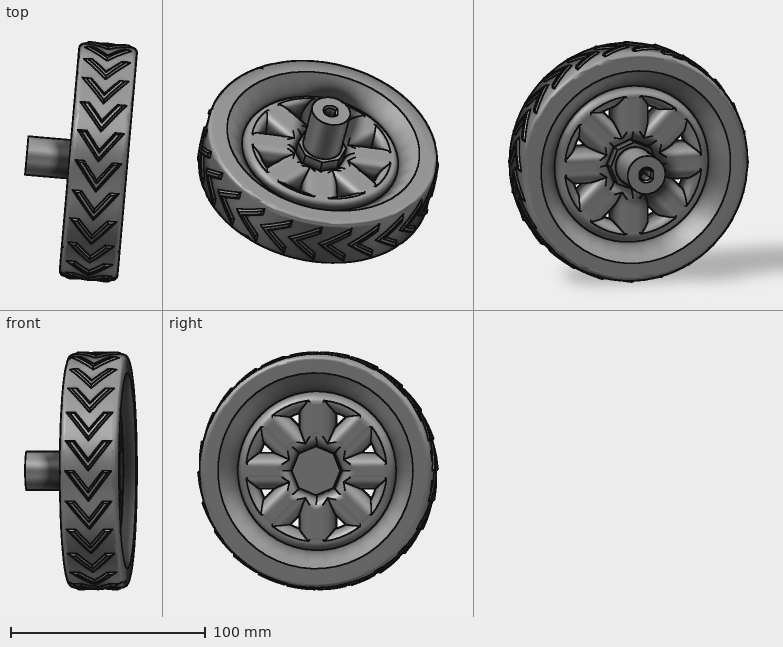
import cadquery as cq
import math

AXIS_TILT = -5.0

TYRE_RADIUS = 60.0
TYRE_HALF_WIDTH = 14.98
TYRE_FILLET = 3.0
BAND_HALF_WIDTH = TYRE_HALF_WIDTH - TYRE_FILLET

TREAD_COUNT = 24
TREAD_PITCH = 360.0 / TREAD_COUNT
TREAD_HEIGHT = 1.0
TREAD_SINK = 0.1
TREAD_LEG_WIDTH = 4.7
TREAD_TRIM = 0.1
LEG_SEGMENTS = 4

RIM_MOUTH_RADIUS = 49.8
RIM_MOUTH_CHAMFER = 0.5
RIM_WAIST_RADIUS = 40.8
RIM_WAIST_HALF_WIDTH = 5.9

SPOKE_COUNT = 8
WEB_HALF_THICKNESS = 10.0
WEB_ROUND = 7.1
WEB_STRAIGHT = WEB_HALF_THICKNESS - WEB_ROUND
SPOKE_FLAT = 4.3
SPOKE_WIDTH = SPOKE_FLAT + 2 * WEB_ROUND
WEB_RADIUS = 41.5
WINDOW_RADIUS = 31.2

HUB_SIDES = SPOKE_COUNT
HUB_APOTHEM = 11.6
HUB_HALF_LENGTH = 12.0
SHAFT_DIAMETER = 20.0
SHAFT_END = 37.0
BORE_DIAMETER = 6.0
BORE_FLAT_OFFSET = 2.5
BORE_DEPTH = 15.0
BORE_CHAMFER = 1.0


def revolve_about_x(profile):
    """Revolve a profile drawn in XY (x along the axis, y radial)."""
    return profile.revolve(360, (0, 0, 0), (1, 0, 0))


def make_tyre_and_rim():
    mouth_x = TYRE_HALF_WIDTH - RIM_MOUTH_CHAMFER
    corner_radius = TYRE_RADIUS - TYRE_FILLET
    profile = (
        cq.Workplane("XY")
        .moveTo(-RIM_WAIST_HALF_WIDTH, RIM_WAIST_RADIUS)
        .lineTo(-mouth_x, RIM_MOUTH_RADIUS)
        .lineTo(-TYRE_HALF_WIDTH, RIM_MOUTH_RADIUS + RIM_MOUTH_CHAMFER)
        .lineTo(-TYRE_HALF_WIDTH, corner_radius)
        .radiusArc((-BAND_HALF_WIDTH, TYRE_RADIUS), TYRE_FILLET)
        .lineTo(BAND_HALF_WIDTH, TYRE_RADIUS)
        .radiusArc((TYRE_HALF_WIDTH, corner_radius), TYRE_FILLET)
        .lineTo(TYRE_HALF_WIDTH, RIM_MOUTH_RADIUS + RIM_MOUTH_CHAMFER)
        .lineTo(mouth_x, RIM_MOUTH_RADIUS)
        .lineTo(RIM_WAIST_HALF_WIDTH, RIM_WAIST_RADIUS)
        .close()
    )
    return revolve_about_x(profile)


def rounded_disc():
    """Disc with rounded rim, the envelope of the whole web."""
    flat_radius = WEB_RADIUS - WEB_ROUND
    profile = (
        cq.Workplane("XY")
        .moveTo(-WEB_HALF_THICKNESS, 0)
        .lineTo(-WEB_HALF_THICKNESS, flat_radius)
        .radiusArc((-WEB_STRAIGHT, WEB_RADIUS), WEB_ROUND)
        .lineTo(WEB_STRAIGHT, WEB_RADIUS)
        .radiusArc((WEB_HALF_THICKNESS, flat_radius), WEB_ROUND)
        .lineTo(WEB_HALF_THICKNESS, 0)
        .close()
    )
    return revolve_about_x(profile)


def window_ring():
    """Ring outside the windows, with its inner edges rounded."""
    flat_radius = WINDOW_RADIUS + WEB_ROUND
    profile = (
        cq.Workplane("XY")
        .moveTo(-WEB_HALF_THICKNESS, WEB_RADIUS)
        .lineTo(-WEB_HALF_THICKNESS, flat_radius)
        .radiusArc((-WEB_STRAIGHT, WINDOW_RADIUS), -WEB_ROUND)
        .lineTo(WEB_STRAIGHT, WINDOW_RADIUS)
        .radiusArc((WEB_HALF_THICKNESS, flat_radius), -WEB_ROUND)
        .lineTo(WEB_HALF_THICKNESS, WEB_RADIUS)
        .close()
    )
    return revolve_about_x(profile)


def spoke_pair():
    """Rounded bar along Z through the centre, forming two opposite spokes."""
    return (
        cq.Workplane("XY")
        .rect(2 * WEB_HALF_THICKNESS, SPOKE_WIDTH)
        .extrude(WEB_RADIUS, both=True)
        .edges("|Z")
        .fillet(WEB_ROUND)
    )


def hub_opening():
    """Octagonal opening around the hub, flaring to both faces of the web."""
    flare = HUB_APOTHEM + WEB_ROUND
    slab = (
        cq.Workplane("XY")
        .moveTo(-WEB_HALF_THICKNESS, -flare)
        .radiusArc((-WEB_STRAIGHT, -HUB_APOTHEM), WEB_ROUND)
        .lineTo(WEB_STRAIGHT, -HUB_APOTHEM)
        .radiusArc((WEB_HALF_THICKNESS, -flare), WEB_ROUND)
        .lineTo(WEB_HALF_THICKNESS, flare)
        .radiusArc((WEB_STRAIGHT, HUB_APOTHEM), WEB_ROUND)
        .lineTo(-WEB_STRAIGHT, HUB_APOTHEM)
        .radiusArc((-WEB_HALF_THICKNESS, flare), WEB_ROUND)
        .close()
        .extrude(2 * flare, both=True)
    )
    side_angle = 360.0 / HUB_SIDES
    opening = turn(slab, side_angle / 2)
    for i in range(1, HUB_SIDES // 2):
        opening = opening.intersect(turn(slab, side_angle * (i + 0.5)))
    return opening


def turn(body, angle):
    """Rotate a body about the wheel axis."""
    return body.rotate((0, 0, 0), (1, 0, 0), angle)


def make_web():
    web = window_ring()
    for i in range(SPOKE_COUNT // 2):
        web = web.union(turn(spoke_pair(), i * 360.0 / SPOKE_COUNT))
    return web.intersect(rounded_disc()).cut(hub_opening())


def bore_outline():
    """D-shaped outline on the shaft end, flat on the -Y side."""
    radius = BORE_DIAMETER / 2
    flat_half = math.sqrt(radius**2 - BORE_FLAT_OFFSET**2)
    return (
        cq.Workplane("YZ", origin=(-SHAFT_END, 0, 0))
        .moveTo(-BORE_FLAT_OFFSET, -flat_half)
        .threePointArc((radius, 0), (-BORE_FLAT_OFFSET, flat_half))
        .close()
    )


def make_bore():
    """Blind bore with a chamfered mouth."""
    mouth = bore_outline().offset2D(BORE_CHAMFER, "intersection").extrude(BORE_CHAMFER, taper=45)
    return bore_outline().extrude(BORE_DEPTH).union(mouth)


def make_hub_and_shaft():
    corner_diameter = 2 * HUB_APOTHEM / math.cos(math.pi / HUB_SIDES)
    hub = cq.Workplane("YZ").polygon(HUB_SIDES, corner_diameter).extrude(HUB_HALF_LENGTH, both=True)
    shaft = cq.Workplane("YZ").circle(SHAFT_DIAMETER / 2).extrude(-SHAFT_END)
    return hub.union(shaft).cut(make_bore())


def leg_section(angle):
    """Trapezoid across a tread leg, in the radial plane at the given angle."""
    pitch_arc = TYRE_RADIUS * math.radians(TREAD_PITCH)
    axial_draft = math.hypot(pitch_arc, BAND_HALF_WIDTH) / pitch_arc
    outer = BAND_HALF_WIDTH * (1 - angle / TREAD_PITCH)
    inner = outer - TREAD_LEG_WIDTH
    low = -TREAD_SINK
    high = TREAD_HEIGHT + TREAD_TRIM
    corners = [
        (inner + low * axial_draft, low),
        (outer - low * axial_draft, low),
        (outer - high * axial_draft, high),
        (inner + high * axial_draft, high),
    ]
    a = math.radians(angle)
    points = []
    for x, height in corners:
        r = TYRE_RADIUS + height
        points.append(cq.Vector(x, r * math.cos(a), r * math.sin(a)))
    return cq.Wire.makePolygon(points, close=True)


def make_chevron():
    """One V-shaped tread, its open end at angle 0 and its tip one pitch further on."""
    first_angle = -TREAD_PITCH / LEG_SEGMENTS
    step = (TREAD_PITCH - first_angle) / LEG_SEGMENTS
    sections = [leg_section(first_angle + i * step) for i in range(LEG_SEGMENTS + 1)]
    leg = cq.Workplane(cq.Solid.makeLoft(sections))
    top = TYRE_RADIUS + TREAD_HEIGHT
    clip = (
        cq.Workplane("YZ")
        .moveTo(TYRE_RADIUS - TREAD_HEIGHT, -TREAD_HEIGHT)
        .lineTo(top + TREAD_HEIGHT, 2 * TREAD_HEIGHT)
        .lineTo(top + TREAD_HEIGHT, top / 2)
        .lineTo(TYRE_RADIUS / 2, top / 2)
        .lineTo(TYRE_RADIUS / 2, -TREAD_HEIGHT)
        .close()
        .extrude(TYRE_HALF_WIDTH)
    )
    turning = cq.Workplane("YZ").circle(top).extrude(TYRE_HALF_WIDTH)
    half = leg.intersect(clip).intersect(turning)
    return half.union(half.mirror("YZ"))


def make_treads():
    chevron = make_chevron()
    return [turn(chevron, i * TREAD_PITCH) for i in range(TREAD_COUNT)]


parts = [make_web(), make_hub_and_shaft()] + make_treads()
wheel = make_tyre_and_rim().val().fuse(*[part.val() for part in parts])
result = cq.Workplane(wheel).rotate((0, 0, 0), (0, 0, 1), AXIS_TILT)